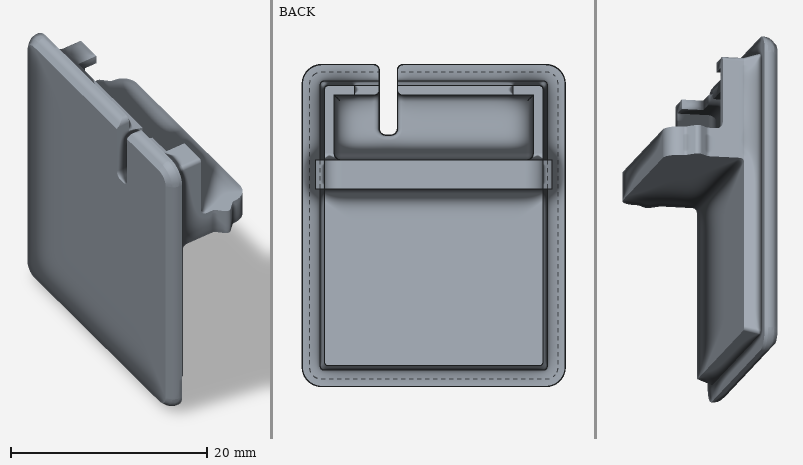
import cadquery as cq
import math

plate_width = 26.8
plate_height = 32.8
plate_thickness = 1.5
plate_corner_radius = 2.0
rim_chamfer = 0.75
rim_blend_radius = 1.0

pad_width = 22.25
pad_height = 28.55
pad_back = 3.15
pad_taper = 15.0
pad_corner_radius = 0.4

wall = 1.0
recess_blend_radius = 0.65

lug_back = 5.38
lug_gap = 16.15

arm_top = 6.7
arm_thickness = 3.0
arm_end = 11.25
arm_corner_radius = 1.75
bump_center = 8.1
bump_half_base = 1.15
bump_radius = 0.5
arm_root_radius = 0.45

slot_center = 4.62
slot_width = 1.85
slot_bottom = 9.22
slot_end_radius = 0.65
slot_mouth_radius = 0.6
slot_back_radius = 0.52

top = plate_height / 2
plate_across = (-plate_width / 2, plate_width / 2)
plate_upright = (-top, top)
arm_bottom = arm_top - arm_thickness
half_pad = pad_width / 2
pad_top = pad_height / 2
recess_half = half_pad - wall
recess_top = pad_top - wall
pad_across = (-half_pad, half_pad)
slot_across = (slot_center - slot_width / 2, slot_center + slot_width / 2)

tolerance = 0.03


def box(x_range, y_range, z_range):
    """Block spanning the given (low, high) range on each axis."""
    sizes = [high - low for low, high in (x_range, y_range, z_range)]
    corner = (x_range[0], y_range[0], z_range[0])
    return cq.Workplane("XY").box(*sizes, centered=False).translate(corner)


def arc_middle_offset(radius):
    """Distance from either tangent line to the middle of a quarter-round arc."""
    return radius * (1 - math.sqrt(0.5))


def region(x_range, y_range, z_range):
    """Selector for edges lying wholly within the given ranges."""
    lows, highs = zip(x_range, y_range, z_range)
    return cq.selectors.BoxSelector(
        [low - tolerance for low in lows],
        [high + tolerance for high in highs],
        boundingbox=True,
    )


def make_plate():
    """Rounded plate whose front rim is chamfered and then blended into the sides."""
    plate = (
        cq.Workplane("XZ")
        .rect(plate_width, plate_height)
        .extrude(-plate_thickness)
        .edges("|Y")
        .fillet(plate_corner_radius)
        .faces("<Y")
        .chamfer(rim_chamfer)
    )
    chamfer_border = region(plate_across, (rim_chamfer, rim_chamfer), plate_upright)
    return plate.edges(chamfer_border).fillet(rim_blend_radius)


def make_pad():
    """Pad that narrows away from the plate, with rounded sloping corners."""
    depth = pad_back - plate_thickness
    flare = 2 * depth * math.tan(math.radians(pad_taper))
    return (
        cq.Workplane("XZ", origin=(0, plate_thickness, 0))
        .rect(pad_width + flare, pad_height + flare)
        .extrude(-depth, taper=pad_taper)
        .edges("not #Y")
        .fillet(pad_corner_radius)
    )


def make_lug_block():
    """Block that the recess and the open gap later split into two lugs."""
    return (
        box(pad_across, (pad_back, lug_back), (arm_bottom, pad_top))
        .edges("|Y and >Z")
        .fillet(pad_corner_radius)
    )


def make_arm():
    """Arm with rounded end corners and a rounded snap bump on each side."""
    bump_tip = half_pad + bump_half_base
    right_side = [
        (half_pad, pad_back),
        (half_pad, bump_center - bump_half_base),
        (bump_tip, bump_center),
        (half_pad, bump_center + bump_half_base),
        (half_pad, arm_end),
    ]
    left_side = [(-x, y) for x, y in reversed(right_side)]
    arm = (
        cq.Workplane("XY", origin=(0, 0, arm_bottom))
        .polyline(right_side + left_side)
        .close()
        .extrude(arm_thickness)
    )
    bump_edges = region(
        plate_across,
        (bump_center - bump_half_base, bump_center + bump_half_base),
        (arm_bottom, arm_top),
    )
    arm = arm.edges("|Z").edges(bump_edges).fillet(bump_radius)
    return arm.edges("|Z and >Y").fillet(arm_corner_radius)


def make_arm_cove():
    """Concave strip joining the underside of the arm to the back of the pad."""
    mid_offset = arc_middle_offset(arm_root_radius)
    return (
        cq.Workplane("YZ", origin=(-half_pad, 0, 0))
        .moveTo(pad_back, arm_bottom)
        .lineTo(pad_back, arm_bottom - arm_root_radius)
        .threePointArc(
            (pad_back + mid_offset, arm_bottom - mid_offset),
            (pad_back + arm_root_radius, arm_bottom),
        )
        .close()
        .extrude(pad_width)
    )


def make_slot():
    """Slot open at the top, with rounded bottom corners and a rounded mouth."""
    slot = (
        box(slot_across, (0, lug_back), (slot_bottom, top))
        .edges("|Y and <Z")
        .fillet(slot_end_radius)
    )
    arc_offset = arc_middle_offset(slot_mouth_radius)
    for side in (-1, 1):
        edge = slot_center + side * slot_width / 2
        flare = (
            cq.Workplane("XZ")
            .moveTo(edge, top - slot_mouth_radius)
            .threePointArc(
                (edge + side * arc_offset, top - arc_offset),
                (edge + side * slot_mouth_radius, top),
            )
            .lineTo(edge, top)
            .close()
            .extrude(-plate_thickness)
        )
        slot = slot.union(flare)
    return slot


recess = box((-recess_half, recess_half), (plate_thickness, lug_back), (arm_top, recess_top))
open_gap = box((-lug_gap / 2, lug_gap / 2), (pad_back, lug_back), (arm_top, pad_top))

floor = (plate_thickness, plate_thickness)
arm_root = region(pad_across, (plate_thickness, lug_back), (arm_top, arm_top))
floor_rim = region(pad_across, floor, (arm_top, recess_top))
slot_back = region(slot_across, floor, (slot_bottom, recess_top))

body = make_plate().union(make_pad()).union(make_lug_block())
body = body.cut(recess).cut(open_gap)
body = body.union(make_arm()).union(make_arm_cove())
body = body.edges(cq.selectors.SumSelector(arm_root, floor_rim)).fillet(recess_blend_radius)
result = body.cut(make_slot()).edges(slot_back).fillet(slot_back_radius)